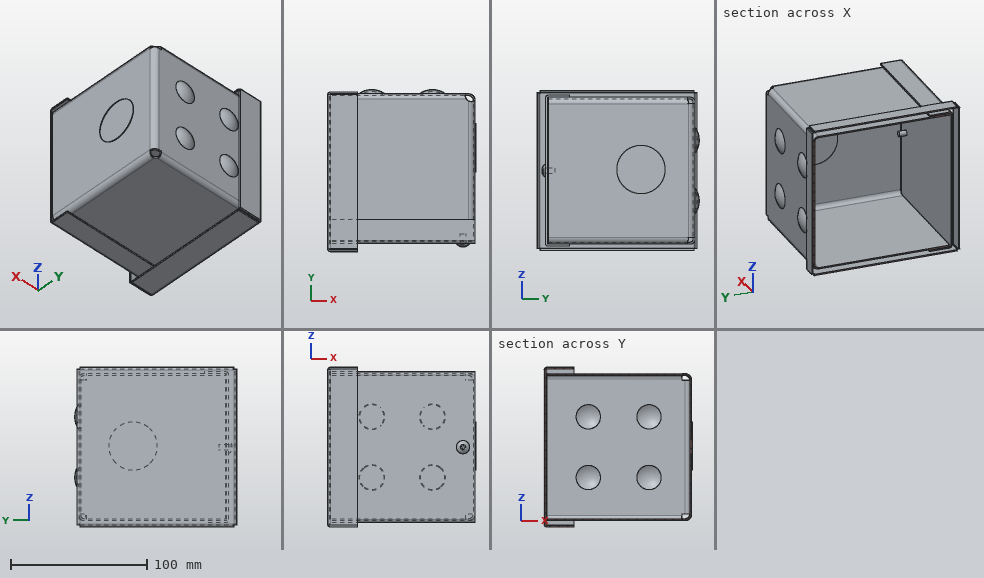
import cadquery as cq
import math

sheet = 1.4
bend = 2.3
inner_bend = bend - sheet

cap_front_y = -59.5
cap_back_y = 57.9
cap_height = 117.4
cap_depth = 22.0
cap_notch_y = 2.1
cap_notch_z = 1.4

cover_end_x = 108.3
cover_front_y = -53.5
cover_height = 110.8
cover_depth = 17.7

box_height = cover_height - 2 * sheet
box_back_y = cap_back_y - sheet
box_front_y = cover_front_y + bend
back_bend = 3.8
end_bend = 4.9
relief_diameter = 9.0
relief_depth = 4.8
relief_inset_x = 2.7
relief_inset_y = 1.2

dimple_radius = 15.8
dimple_height = 3.1
dimple_center_x = 54.7
dimple_spacing = 44.5

knockout_diameter = 35.5
knockout_height = 0.5
knockout_y = 16.7
knockout_z = 0.8

screw_x = 99.3
screw_z = 0.0
head_diameter = 9.8
head_height = 2.6
shank_diameter = 4.2
shank_length = 7.1
socket_span = 3.8
socket_arm_width = 1.2
socket_depth = 1.8
socket_turn = 8.0


def block(x_range, y_range, height):
    """Box over the given X and Y ranges, centred on Z = 0."""
    return cq.Workplane("XY").box(
        x_range[1] - x_range[0], y_range[1] - y_range[0], height, centered=(False, False, True)
    ).translate((x_range[0], y_range[0], 0))


def make_end_cap():
    outside = block((0, cap_depth), (cap_front_y, cap_back_y), cap_height)
    outside = outside.faces("<X").edges().fillet(bend)
    inside = block(
        (sheet, cap_depth), (cap_front_y + sheet, cap_back_y - sheet), cap_height - 2 * sheet
    )
    inside = inside.faces("<X").edges().fillet(inner_bend)
    cap = outside.cut(inside)
    for y in (cap_front_y, cap_back_y):
        for z in (-cap_height / 2, cap_height / 2):
            notch = cq.Workplane("XY").box(2 * cap_depth, 2 * cap_notch_y, 2 * cap_notch_z)
            cap = cap.cut(notch.translate((0, y, z)))
    return cap


def make_cover():
    x_range = (bend, cover_end_x)
    back_y = cover_front_y + cover_depth
    outside = block(x_range, (cover_front_y, back_y), cover_height)
    outside = outside.faces("<Y").edges("|X").fillet(bend)
    inside = block(x_range, (cover_front_y + sheet, back_y), cover_height - 2 * sheet)
    inside = inside.faces("<Y").edges("|X").fillet(inner_bend)
    return outside.cut(inside).cut(make_shank())


def make_shank():
    """Screw shank, which is also the shape of its hole, starting at the cover's outer face."""
    return cq.Workplane("XZ", origin=(screw_x, cover_front_y, screw_z)).circle(
        shank_diameter / 2
    ).extrude(-shank_length)


def rounded_block(offset):
    """Block filling the box up to `offset` inside its outer faces, with the bends rounded."""
    body = block(
        (bend, cover_end_x - offset), (box_front_y, box_back_y - offset), box_height - 2 * offset
    )
    body = body.faces(">X").edges(">Y or >Z or <Z").fillet(end_bend - offset)
    return body.faces(">Y").edges(">Z or <Z").fillet(back_bend - offset)


def dimple_places():
    half = dimple_spacing / 2
    return [(dimple_center_x + x, z) for x in (-half, half) for z in (-half, half)]


def ball_beyond(radius, x, z, plane_y):
    """The part of a dimple's ball that lies on the +Y side of a plane."""
    center_y = box_back_y + dimple_height - dimple_radius
    ball = cq.Workplane("XY").sphere(radius).translate((x, center_y, z))
    keep = cq.Workplane("XY").box(2 * radius, 2 * radius, 2 * radius)
    return ball.intersect(keep.translate((x, plane_y + radius, z)))


def make_box():
    box = rounded_block(0).cut(rounded_block(sheet))
    for x, z in dimple_places():
        inner_y = box_back_y - sheet
        box = box.union(ball_beyond(dimple_radius, x, z, inner_y))
        box = box.cut(ball_beyond(dimple_radius - sheet, x, z, inner_y))
    for z in (-box_height / 2, box_height / 2):
        relief = cq.Workplane("XY").cylinder(2 * relief_depth, relief_diameter / 2)
        box = box.cut(
            relief.translate((cover_end_x - relief_inset_x, box_back_y - relief_inset_y, z))
        )
    return box.cut(make_knockout())


def make_knockout():
    return cq.Workplane("YZ", origin=(cover_end_x - sheet, knockout_y, knockout_z)).circle(
        knockout_diameter / 2
    ).extrude(sheet + knockout_height)


def make_screw():
    rim = head_diameter / 2
    head_radius = (rim**2 + head_height**2) / (2 * head_height)
    half_angle = math.asin(rim / head_radius) / 2
    middle = (
        head_radius * math.sin(half_angle),
        head_radius * math.cos(half_angle) - head_radius + head_height,
    )
    head = (
        cq.Workplane("XY").lineTo(rim, 0).threePointArc(middle, (0, head_height)).close()
        .revolve(360, (0, 0, 0), (0, 1, 0))
        .rotate((0, 0, 0), (1, 0, 0), 180)
        .translate((screw_x, cover_front_y, screw_z))
    )
    socket = (
        cq.Workplane("XZ", origin=(screw_x, cover_front_y - head_height, screw_z))
        .transformed(rotate=(0, 0, socket_turn))
        .rect(socket_span, socket_arm_width)
        .extrude(-socket_depth)
    )
    socket = socket.union(
        socket.rotate((screw_x, 0, screw_z), (screw_x, 1, screw_z), 90)
    )
    return head.cut(socket).union(make_shank())


end_cap = make_end_cap()
cover = make_cover()
box = make_box()
knockout = make_knockout()
screw = make_screw()

result = cq.Compound.makeCompound(
    [end_cap.val(), cover.val(), box.val(), knockout.val(), screw.val()]
)